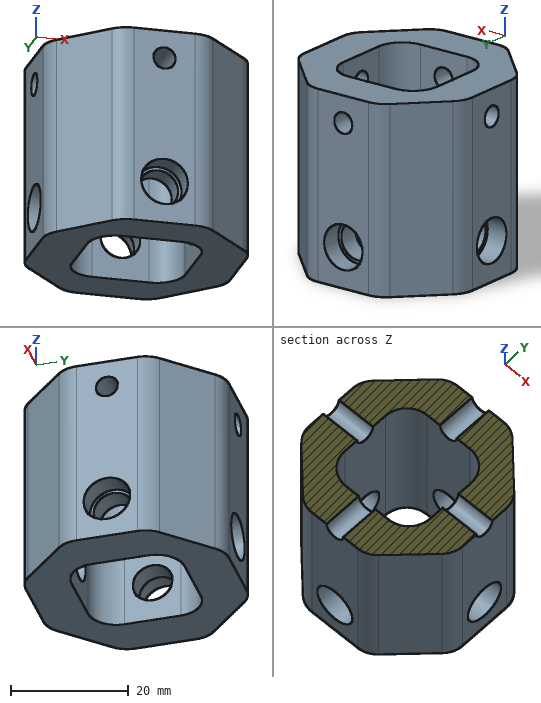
import cadquery as cq

width = 36.0
height = 35.0
edge_radius = 4.95
bore_width = 20.0
bore_radius = 5.0

pin_diameter = 3.85
pin_from_top = 5.0
port_diameter = 7.0
port_height = 7.5
recess_diameter = 8.2
recess_depth = 4.0


def sleeve():
    """Regular octagon made by crossing two squares, with a rounded square bore."""
    square = cq.Workplane("XY").rect(width, width).extrude(height)
    octagon = square.intersect(square.rotate((0, 0, 0), (0, 0, 1), 45))
    outside = octagon.edges("|Z").fillet(edge_radius)
    bore = cq.Workplane("XY").rect(bore_width, bore_width).extrude(height)
    return outside.cut(bore.edges("|Z").fillet(bore_radius))


def side_cutter(diameter, z, depth):
    """Round cutter going inward from the -Y side."""
    start = cq.Workplane("XZ", origin=(0, -width / 2, z))
    return start.circle(diameter / 2).extrude(-depth)


pin_hole = side_cutter(pin_diameter, height - pin_from_top, width / 2)
port = side_cutter(port_diameter, port_height, width / 2)
recess = side_cutter(recess_diameter, port_height, recess_depth)
side_holes = pin_hole.union(port).union(recess)

result = sleeve()
for angle in (0, 90, 180, 270):
    result = result.cut(side_holes.rotate((0, 0, 0), (0, 0, 1), angle))